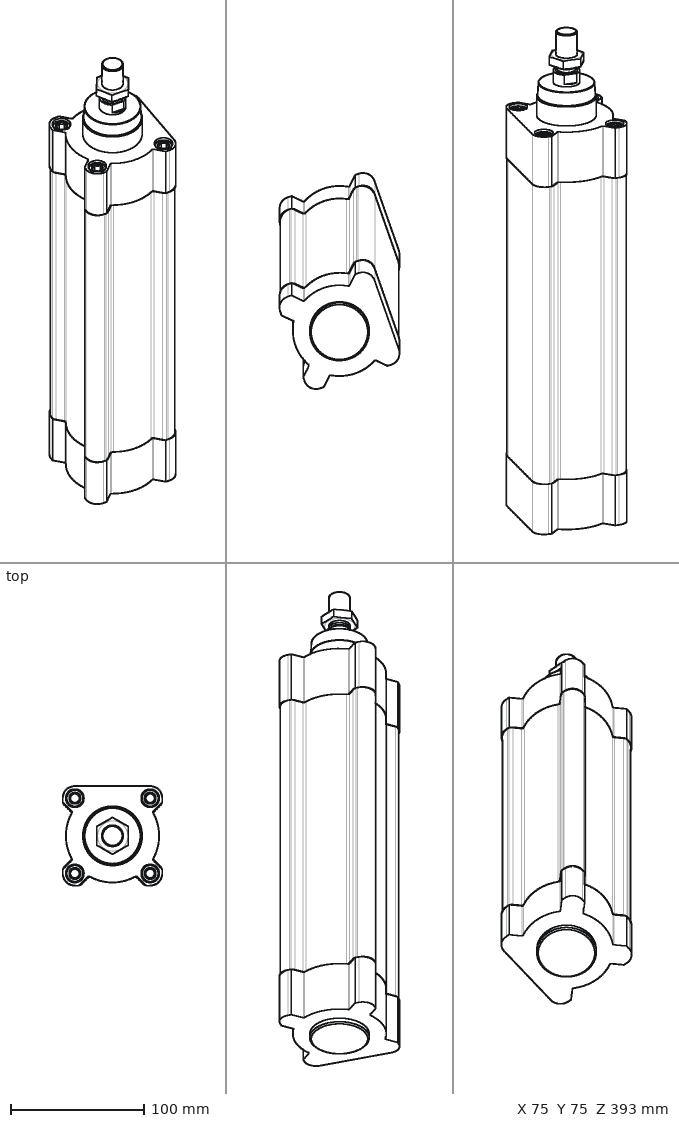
import cadquery as cq
import math

body_width = 75.0
screw_spacing = 56.5
cap_diameter = 70.5
cap_lug_width = 17.3
cap_corner_radius = (body_width - screw_spacing) / 2
cap_root_radius = 0.8

barrel_inset = 0.2
barrel_width = body_width - 2 * barrel_inset
barrel_diameter = cap_diameter - 2 * barrel_inset
barrel_lug_width = 18.5
barrel_corner_radius = 10.2
barrel_edge_radius = 4.0
barrel_root_radius = 2.0

total_height = 393.0
rear_collar_height = 4.5
cap_length = 40.5
barrel_length = 239.8
front_collar_height = 16.0
front_ring_height = 10.5
rear_cap_bottom = rear_collar_height
rear_cap_top = rear_cap_bottom + cap_length
front_cap_bottom = rear_cap_top + barrel_length
front_cap_top = front_cap_bottom + cap_length
front_ring_bottom = front_cap_top + front_collar_height
front_ring_top = front_ring_bottom + front_ring_height

collar_diameter = 45.0
rear_collar_chamfer = 1.0
front_collar_chamfer = 0.8
ring_base_diameter = 43.5
ring_top_diameter = 42.5
ring_edge_chamfer = 0.5

screw_recess_diameter = 13.8
screw_floor_diameter = 12.0
screw_recess_depth = 1.5
socket_mouth_diameter = 8.5
socket_mouth_depth = 1.0
socket_hole_diameter = 6.5
socket_corner_diameter = 8.0
socket_depth = 6.0

rod_diameter = 20.0
rod_flats = 17.3
thread_diameter = 16.0
thread_length = 32.0
thread_chamfer = 0.8
undercut_diameter = 13.5
undercut_height = 3.0
undercut_taper = 0.8
flats_clearance = 2.0
flats_bottom = front_ring_top + flats_clearance
rod_shoulder = total_height - thread_length

nut_flats = 24.0
nut_height = 7.0
nut_bottom = 367.0
nut_chamfer = 0.5
nut_face_diameter = 22.8

edge_tolerance = 0.08


def cylinder(diameter, bottom, top):
    return cq.Workplane("XY").workplane(offset=bottom).circle(diameter / 2).extrude(top - bottom)


def flanged_profile(width, diameter, lug_width, corner_radius, root_radius, bottom, top):
    """Round body with four diagonal lugs and a flat +Y side, from bottom to top."""
    height = top - bottom
    base = cq.Workplane("XY").workplane(offset=bottom)
    profile = cylinder(diameter, bottom, top)
    for angle in (45, -45):
        bar = base.rect(2 * width, lug_width).extrude(height)
        profile = profile.union(bar.rotate((0, 0, 0), (0, 0, 1), angle))
    flat_side = base.center(0, width / 4).rect(screw_spacing, width / 2).extrude(height)
    envelope = base.rect(width, width).extrude(height).edges("|Z").fillet(corner_radius)
    profile = profile.union(flat_side).intersect(envelope)
    return edges_at_radius(profile, diameter / 2).fillet(root_radius)


def edges_at_radius(solid, radius):
    """Upright edges at the given distance from the central axis."""
    def is_at_radius(edge):
        centre = edge.Center()
        return abs(math.hypot(centre.x, centre.y) - radius) < edge_tolerance
    return solid.edges("|Z").filter(is_at_radius)


def make_cap(bottom):
    return flanged_profile(
        body_width, cap_diameter, cap_lug_width, cap_corner_radius, cap_root_radius,
        bottom, bottom + cap_length,
    )


def make_barrel():
    barrel = flanged_profile(
        barrel_width, barrel_diameter, barrel_lug_width, barrel_corner_radius, barrel_root_radius,
        rear_cap_top, front_cap_bottom,
    )
    half_width = barrel_width / 2
    lug_edge_distance = math.hypot(half_width, half_width - barrel_lug_width / math.sqrt(2))
    return edges_at_radius(barrel, lug_edge_distance).fillet(barrel_edge_radius)


def make_front_collar():
    collar = cylinder(collar_diameter, front_cap_top, front_ring_bottom)
    collar = collar.faces(">Z").chamfer(front_collar_chamfer)
    ring = (
        cq.Workplane("XY").workplane(offset=front_ring_bottom).circle(ring_base_diameter / 2)
        .workplane(offset=front_ring_height).circle(ring_top_diameter / 2).loft()
    )
    return collar.union(ring.faces(">Z").chamfer(ring_edge_chamfer))


def make_screw_recess():
    """Recess with the screw's chamfered socket mouth, hexagon socket and pointed hole."""
    recess_radius = screw_recess_diameter / 2
    floor_radius = screw_floor_diameter / 2
    mouth_radius = socket_mouth_diameter / 2
    hole_radius = socket_hole_diameter / 2
    floor = front_cap_top - screw_recess_depth
    mouth_bottom = floor - socket_mouth_depth
    socket_bottom = floor - socket_depth
    profile = [
        (0, front_cap_top),
        (recess_radius, front_cap_top),
        (floor_radius, floor),
        (mouth_radius, floor),
        (hole_radius, mouth_bottom),
        (hole_radius, socket_bottom),
        (0, socket_bottom - hole_radius),
    ]
    recess = cq.Workplane("XZ").polyline(profile).close().revolve(360, (0, 0), (0, 1))
    socket = (
        cq.Workplane("XY").workplane(offset=socket_bottom).polygon(6, socket_corner_diameter)
        .extrude(socket_depth)
    )
    return recess.union(socket)


def cut_screw_recesses(housing):
    recess = make_screw_recess()
    for side_x in (-1, 1):
        for side_y in (-1, 1):
            corner = (side_x * screw_spacing / 2, side_y * screw_spacing / 2, 0)
            housing = housing.cut(recess.translate(corner))
    return housing


def make_housing():
    rear_collar = cylinder(collar_diameter, 0, rear_cap_bottom).faces("<Z").chamfer(rear_collar_chamfer)
    housing = make_cap(rear_cap_bottom).union(make_barrel()).union(make_cap(front_cap_bottom))
    housing = housing.union(rear_collar).union(make_front_collar())
    housing = cut_screw_recesses(housing)
    return housing.cut(cylinder(rod_diameter, front_cap_bottom, front_ring_top))


def make_rod():
    rod_radius = rod_diameter / 2
    thread_radius = thread_diameter / 2
    undercut_radius = undercut_diameter / 2
    undercut_top = rod_shoulder + undercut_height
    profile = [
        (0, front_cap_bottom),
        (rod_radius, front_cap_bottom),
        (rod_radius, rod_shoulder),
        (thread_radius, rod_shoulder),
        (undercut_radius, rod_shoulder + undercut_taper),
        (undercut_radius, undercut_top),
        (thread_radius, undercut_top + undercut_taper),
        (thread_radius, total_height - thread_chamfer),
        (thread_radius - thread_chamfer, total_height),
        (0, total_height),
    ]
    rod = cq.Workplane("XZ").polyline(profile).close().revolve(360, (0, 0), (0, 1))
    flats_height = rod_shoulder - flats_bottom
    shank = cylinder(rod_diameter, flats_bottom, rod_shoulder)
    between_flats = (
        cq.Workplane("XY").workplane(offset=flats_bottom)
        .rect(rod_flats, rod_diameter).extrude(flats_height)
    )
    return rod.cut(shank.cut(between_flats))


def make_nut():
    across_corners = nut_flats / math.cos(math.pi / 6)
    nut_top = nut_bottom + nut_height
    chamfer_width = (across_corners - nut_face_diameter) / 2
    hexagon = cq.Workplane("XY").workplane(offset=nut_bottom).polygon(6, across_corners).extrude(nut_height)
    hexagon = hexagon.rotate((0, 0, 0), (0, 0, 1), 30)
    envelope = cylinder(across_corners, nut_bottom, nut_top)
    envelope = envelope.faces("<Z or >Z").chamfer(nut_chamfer, chamfer_width)
    return hexagon.intersect(envelope).cut(cylinder(thread_diameter, nut_bottom, nut_top))


housing = make_housing()
rod = make_rod()
nut = make_nut()
result = cq.Compound.makeCompound([housing.val(), rod.val(), nut.val()])